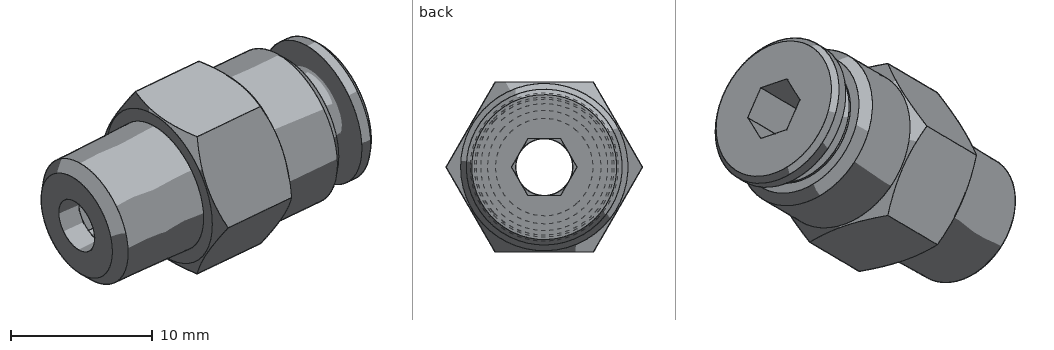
import cadquery as cq
import math

length = 22.62

thread_length = 7.53
thread_chamfer = 0.8
thread_base_radius = 4.93
thread_end_radius = 4.8

hex_across_flats = 12.0
hex_end = 14.5
hex_face_radius = 5.9
hex_chamfer_angle = math.radians(30)

body_radius = 5.9
body_end = 19.57
body_chamfer = 0.68

shoulder_radius = 4.48
shoulder_rim_end = 19.72
shoulder_end = 20.35

neck_radius = 3.44
neck_fillet = 0.27
flange_radius = 5.5
flange_thickness = 1.18
flange_chamfer = 0.38

bore_diameter = 4.0
bore_depth = 1.8
socket_across_flats = bore_diameter


def hex_prism(across_flats, start, end):
    """Hexagonal prism along Y with corners on the X axis."""
    corner_diameter = across_flats / math.cos(math.pi / 6)
    return (
        cq.Workplane("XZ", origin=(0, start, 0))
        .polygon(6, corner_diameter)
        .extrude(start - end)
    )


def revolve_about_y(outline):
    return outline.close().revolve(360, (0, 0, 0), (0, 1, 0))


def make_hex_section():
    """Hexagon with its corners trimmed by a cone at each end."""
    corner_radius = hex_across_flats / 2 / math.cos(math.pi / 6)
    chamfer_depth = (corner_radius - hex_face_radius) * math.tan(hex_chamfer_angle)
    envelope = revolve_about_y(
        cq.Workplane("XY")
        .moveTo(0, thread_length)
        .lineTo(hex_face_radius, thread_length)
        .lineTo(corner_radius, thread_length + chamfer_depth)
        .lineTo(corner_radius, hex_end - chamfer_depth)
        .lineTo(hex_face_radius, hex_end)
        .lineTo(0, hex_end)
    )
    return hex_prism(hex_across_flats, thread_length, hex_end).intersect(envelope)


def make_turned_core():
    """All round sections, from the thread stub to the collar flange."""
    flange_start = length - flange_thickness
    arc_offset = neck_fillet * (1 - math.sqrt(0.5))
    return revolve_about_y(
        cq.Workplane("XY")
        .moveTo(0, 0)
        .lineTo(thread_end_radius - thread_chamfer, 0)
        .lineTo(thread_end_radius, thread_chamfer)
        .lineTo(thread_base_radius, thread_length)
        .lineTo(thread_base_radius, hex_end)
        .lineTo(body_radius, hex_end)
        .lineTo(body_radius, body_end - body_chamfer)
        .lineTo(body_radius - body_chamfer, body_end)
        .lineTo(shoulder_radius, body_end)
        .lineTo(shoulder_radius, shoulder_rim_end)
        .lineTo(neck_radius, shoulder_end)
        .lineTo(neck_radius, flange_start - neck_fillet)
        .threePointArc(
            (neck_radius + arc_offset, flange_start - arc_offset),
            (neck_radius + neck_fillet, flange_start),
        )
        .lineTo(flange_radius, flange_start)
        .lineTo(flange_radius, length - flange_chamfer)
        .lineTo(flange_radius - flange_chamfer, length)
        .lineTo(0, length)
    )


def make_passage():
    bore = cq.Workplane("XZ").circle(bore_diameter / 2).extrude(-bore_depth)
    socket = hex_prism(socket_across_flats, bore_depth, length)
    return bore.union(socket)


result = make_turned_core().union(make_hex_section()).cut(make_passage())